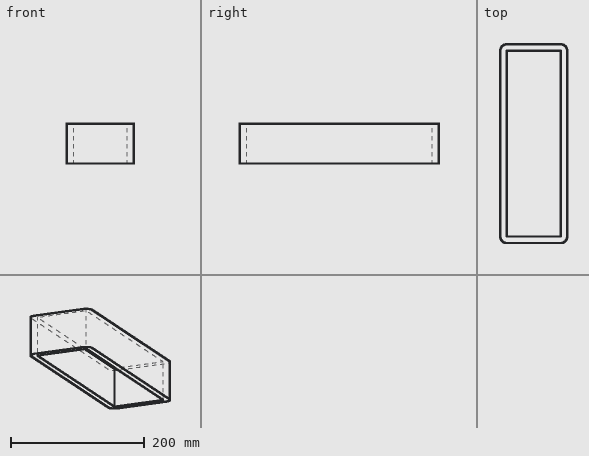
import cadquery as cq

width = 100.5
length = 298.0
height = 60.0

wall = 10.0
corner_radius = wall

outer_block = (
    cq.Workplane("XY")
    .box(width, length, height)
    .edges("|Z")
    .fillet(corner_radius)
)

opening = cq.Workplane("XY").box(width - 2 * wall, length - 2 * wall, height)

result = outer_block.cut(opening)